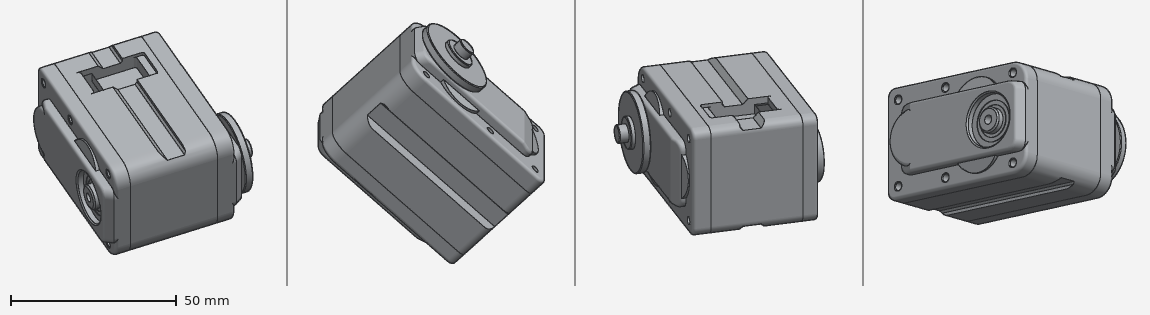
import cadquery as cq

CASE_WIDTH = 56.0
CASE_HEIGHT = 35.0
CASE_FRONT = 3.2
CASE_REAR = 42.95
FRONT_PARTING = 8.1
REAR_PARTING = 37.2
LEFT_CORNER_RADIUS = 2.85
RIGHT_CORNER_RADIUS = 5.95
CASE_EDGE_FILLET = 1.0
CASE_TOP = CASE_HEIGHT / 2

SCREW_PLACES = [(-23.6, 13.5), (-4.6, 14.05), (22.45, 14.05)]
SCREW_RADIUS = 1.25
SCREW_CHAMFER = 0.3

COVER_HEIGHT = CASE_FRONT
COVER_LEFT = -21.05
COVER_RIGHT = 28.0
COVER_HALF_WIDTH = 10.9
COVER_LEFT_RADIUS = 3.1
COVER_RIGHT_RADIUS = 3.1
COVER_EDGE_FILLET = 1.0
RIGHT_SLOPE_RUN = 1.8
RIGHT_SLOPE_DEPTH = 2.7
LEFT_SLOPE_START = -15.95
LEFT_SLOPE_RATE = 0.29
END_DISC_RADIUS = 9.1
END_DISC_X = -15.4
REAR_DISC_DROP = 0.35

PAD_X = 8.9
PAD_Z = 5.8
PAD_RADIUS = END_DISC_RADIUS
PAD_RIM_HEIGHT = 0.55
PAD_SLOPE = 0.18
PAD_EDGE_FILLET = 0.2

GROOVE_DEPTH = 1.7
GROOVE_WALL_DEPTH = 1.0
GROOVE_FRONT = 19.6
GROOVE_REAR = 27.65

POCKET_LEFT = -19.6
POCKET_RIGHT = -9.1
POCKET_FRONT = 13.55
POCKET_REAR = 34.8
PIT_FRONT = 17.5
PIT_REAR = 32.3
REAR_LEDGE_DEPTH = 1.1
FRONT_LEDGE_DEPTH = 2.2
PIT_DEPTH = 5.2
POCKET_CORNER_RADIUS = 0.8
TONGUE_CORNER_LENGTH = 1.05
TONGUE_CORNER_WIDTH = 1.25
TONGUE_CORNER_BULGE = 0.3

SHAFT_X = 15.4
RECESS_RADIUS = 8.4
RECESS_DEPTH = 2.25
RECESS_CHAMFER = 0.45
RING_GROOVE_OUTER_RADIUS = 6.45
RING_GROOVE_INNER_RADIUS = 5.05
RING_GROOVE_DEPTH = 0.2
BOSS_RADIUS = 4.0
BOSS_CHAMFER = 0.5
BOSS_HOLE_RADIUS = 1.4
BOSS_HOLE_DEPTH = 3.35

COVER_REAR = CASE_REAR + COVER_HEIGHT
HUB_RADIUS = 5.1
HUB_END = 50.45
HORN_RADIUS = 12.6
HORN_FRONT = 46.5
HORN_REAR = 49.05
STUB_RADIUS = 2.85
STUB_END = 53.4
HORN_CHAMFER = 0.3

COVER_BASE = CASE_FRONT + CASE_EDGE_FILLET
CASE_MIDDLE = (CASE_FRONT + CASE_REAR) / 2
LEFT_OVERRUN = -CASE_WIDTH / 2
RIGHT_OVERRUN = CASE_WIDTH


def front_plane(y):
    """Plane at the given Y whose extrusions run toward +Y and whose local axes are X and -Z."""
    return cq.Workplane(cq.Plane((0, y, 0), (1, 0, 0), (0, 1, 0)))


def cylinder(x, z, radius, start, end):
    return front_plane(start).center(x, -z).circle(radius).extrude(end - start)


def flared_mouth(x, z, radius, chamfer, start):
    """45 degree cone that chamfers the front end of a hole of the given radius."""
    return front_plane(start).center(x, -z).circle(radius + chamfer).extrude(chamfer, taper=45)


def mirrored_in_z(shape):
    return shape.union(shape.mirror("XY"))


def make_case():
    case = front_plane(CASE_FRONT).rect(CASE_WIDTH, CASE_HEIGHT).extrude(CASE_REAR - CASE_FRONT)
    case = case.edges("|Y and <X").fillet(LEFT_CORNER_RADIUS)
    case = case.edges("|Y and >X").fillet(RIGHT_CORNER_RADIUS)
    return case.faces("<Y or >Y").edges().fillet(CASE_EDGE_FILLET)


def flat_cover_block():
    """Cover block with a flat front face and a sloped right end, running on past the left end."""
    outline = [
        (LEFT_OVERRUN, COVER_BASE),
        (LEFT_OVERRUN, 0),
        (COVER_RIGHT - RIGHT_SLOPE_RUN, 0),
        (COVER_RIGHT, RIGHT_SLOPE_DEPTH),
        (COVER_RIGHT, COVER_BASE),
    ]
    block = cq.Workplane("XY").polyline(outline).close().extrude(COVER_HALF_WIDTH, both=True)
    right_end = cq.selectors.BoxSelector(
        (COVER_RIGHT - RIGHT_SLOPE_RUN, -0.55, -CASE_TOP), (COVER_RIGHT + 0.55, COVER_BASE, CASE_TOP)
    )
    block = block.edges(right_end).edges("not |Z").fillet(COVER_RIGHT_RADIUS)
    return block.faces("<Y").edges().fillet(COVER_EDGE_FILLET)


def left_slope_y(x):
    """Y of the plane that slopes the left end of a cover block."""
    return (LEFT_SLOPE_START - x) * LEFT_SLOPE_RATE


def left_slope_wedge(left):
    """Side outline of everything behind the left slope plane, extruded across the cover block."""
    outline = [
        (left, COVER_BASE),
        (left, left_slope_y(left)),
        (RIGHT_OVERRUN, left_slope_y(RIGHT_OVERRUN)),
        (RIGHT_OVERRUN, COVER_BASE),
    ]
    return cq.Workplane("XY").polyline(outline).close().extrude(COVER_HALF_WIDTH, both=True)


def make_cover_block():
    """Front cover block: the flat block with its left end rounded and cut to the slope plane."""
    left_end = left_slope_wedge(COVER_LEFT)
    left_end = left_end.edges("|Y and <X").fillet(COVER_LEFT_RADIUS)
    left_end = left_end.faces("<Y").edges().fillet(COVER_EDGE_FILLET)
    return flat_cover_block().intersect(left_end)


def make_end_disc():
    return cylinder(END_DISC_X, 0, END_DISC_RADIUS, 0, COVER_BASE)


def make_pads():
    rim_z = PAD_Z + PAD_RADIUS
    rim_y = CASE_FRONT - PAD_RIM_HEIGHT
    middle_y = rim_y - PAD_SLOPE * rim_z
    pad = cylinder(PAD_X, PAD_Z, PAD_RADIUS, 0, COVER_BASE)
    slope = (
        cq.Workplane("YZ")
        .polyline([(COVER_BASE, rim_z), (rim_y, rim_z), (middle_y, 0), (COVER_BASE, 0)])
        .close()
        .extrude(CASE_WIDTH, both=True)
    )
    pad = pad.intersect(slope)
    pad = pad.faces("<Y").edges("not <Z").fillet(PAD_EDGE_FILLET)
    return mirrored_in_z(pad)


def make_front_cover():
    disc = make_end_disc().faces("<Y").edges().fillet(COVER_EDGE_FILLET)
    return make_cover_block().union(disc).union(make_pads())


def make_rear_cover():
    """Rear cover: a mirrored front cover whose end disc is cut just below the slope plane."""
    slope = left_slope_wedge(LEFT_OVERRUN).translate((0, REAR_DISC_DROP, 0))
    disc = make_end_disc().intersect(slope)
    cover = make_cover_block().union(disc).union(make_pads())
    return cover.mirror("XZ", (0, CASE_MIDDLE, 0))


def make_screw_holes():
    holes = cq.Workplane("XY")
    for x, z in SCREW_PLACES:
        hole = cylinder(x, z, SCREW_RADIUS, CASE_FRONT, CASE_REAR)
        mouth = flared_mouth(x, z, SCREW_RADIUS, SCREW_CHAMFER, CASE_FRONT)
        holes = holes.add(hole.union(mouth))
    return mirrored_in_z(holes.combine())


def make_grooves():
    """Grooves with a stepped rear wall and a 45 degree front wall, running along X."""
    slant = GROOVE_DEPTH - GROOVE_WALL_DEPTH
    outline = [
        (GROOVE_FRONT, CASE_TOP),
        (GROOVE_FRONT + GROOVE_DEPTH, CASE_TOP - GROOVE_DEPTH),
        (GROOVE_REAR - slant, CASE_TOP - GROOVE_DEPTH),
        (GROOVE_REAR, CASE_TOP - GROOVE_WALL_DEPTH),
        (GROOVE_REAR, CASE_TOP),
    ]
    groove = cq.Workplane("YZ").polyline(outline).close().extrude(CASE_WIDTH, both=True)
    return mirrored_in_z(groove)


def pocket_step(front, rear, depth):
    """Rectangular step of the pocket with its two rear corners rounded."""
    step = (
        cq.Workplane("XY", origin=(0, 0, CASE_TOP - depth))
        .moveTo((POCKET_LEFT + POCKET_RIGHT) / 2, (front + rear) / 2)
        .rect(POCKET_RIGHT - POCKET_LEFT, rear - front)
        .extrude(depth)
    )
    return step.edges("|Z and >Y").fillet(POCKET_CORNER_RADIUS)


def make_pocket():
    rear_ledge = pocket_step(PIT_FRONT, POCKET_REAR, REAR_LEDGE_DEPTH)
    pit = pocket_step(PIT_FRONT, PIT_REAR, PIT_DEPTH)
    front_ledge = (
        cq.Workplane("XY", origin=(0, 0, CASE_TOP - FRONT_LEDGE_DEPTH))
        .moveTo(POCKET_LEFT, PIT_FRONT)
        .lineTo(POCKET_LEFT, POCKET_FRONT - TONGUE_CORNER_LENGTH)
        .threePointArc(
            (POCKET_LEFT + TONGUE_CORNER_BULGE, POCKET_FRONT - TONGUE_CORNER_BULGE),
            (POCKET_LEFT + TONGUE_CORNER_WIDTH, POCKET_FRONT),
        )
        .lineTo(POCKET_RIGHT - TONGUE_CORNER_WIDTH, POCKET_FRONT)
        .threePointArc(
            (POCKET_RIGHT - TONGUE_CORNER_BULGE, POCKET_FRONT - TONGUE_CORNER_BULGE),
            (POCKET_RIGHT, POCKET_FRONT - TONGUE_CORNER_LENGTH),
        )
        .lineTo(POCKET_RIGHT, PIT_FRONT)
        .close()
        .extrude(FRONT_LEDGE_DEPTH)
    )
    return rear_ledge.union(pit).union(front_ledge)


def make_recess():
    """Round recess with a chamfered mouth and a ring groove in its floor, less the boss in it."""
    recess = cylinder(SHAFT_X, 0, RECESS_RADIUS, 0, RECESS_DEPTH)
    mouth = flared_mouth(SHAFT_X, 0, RECESS_RADIUS, RECESS_CHAMFER, 0)
    boss = cylinder(SHAFT_X, 0, BOSS_RADIUS, 0, RECESS_DEPTH)
    boss = boss.faces("<Y").edges().chamfer(BOSS_CHAMFER)
    hole = cylinder(SHAFT_X, 0, BOSS_HOLE_RADIUS, 0, BOSS_HOLE_DEPTH)
    groove_end = RECESS_DEPTH + RING_GROOVE_DEPTH
    groove = cylinder(SHAFT_X, 0, RING_GROOVE_OUTER_RADIUS, RECESS_DEPTH, groove_end)
    groove = groove.cut(cylinder(SHAFT_X, 0, RING_GROOVE_INNER_RADIUS, RECESS_DEPTH, groove_end))
    return recess.union(mouth).cut(boss).union(hole).union(groove)


def make_horn():
    hub = cylinder(SHAFT_X, 0, HUB_RADIUS, COVER_REAR, HUB_END)
    hub = hub.faces(">Y").edges().chamfer(HORN_CHAMFER)
    disc = cylinder(SHAFT_X, 0, HORN_RADIUS, HORN_FRONT, HORN_REAR)
    disc = disc.edges().chamfer(HORN_CHAMFER)
    stub = cylinder(SHAFT_X, 0, STUB_RADIUS, HUB_END, STUB_END)
    stub = stub.faces(">Y").edges().chamfer(HORN_CHAMFER)
    return hub.union(disc).union(stub)


def make_whole_case():
    case = make_case().union(make_front_cover()).union(make_rear_cover())
    for hollow in (make_screw_holes(), make_grooves(), make_pocket(), make_recess()):
        case = case.cut(hollow)
    return case


def case_section(case, start, end):
    slab = front_plane(start).rect(2 * CASE_WIDTH, 2 * CASE_HEIGHT).extrude(end - start)
    return case.intersect(slab)


whole_case = make_whole_case()
front_case = case_section(whole_case, -0.55, FRONT_PARTING)
middle_case = case_section(whole_case, FRONT_PARTING, REAR_PARTING)
rear_case = case_section(whole_case, REAR_PARTING, COVER_REAR).union(make_horn())

result = cq.Compound.makeCompound([front_case.val(), middle_case.val(), rear_case.val()])